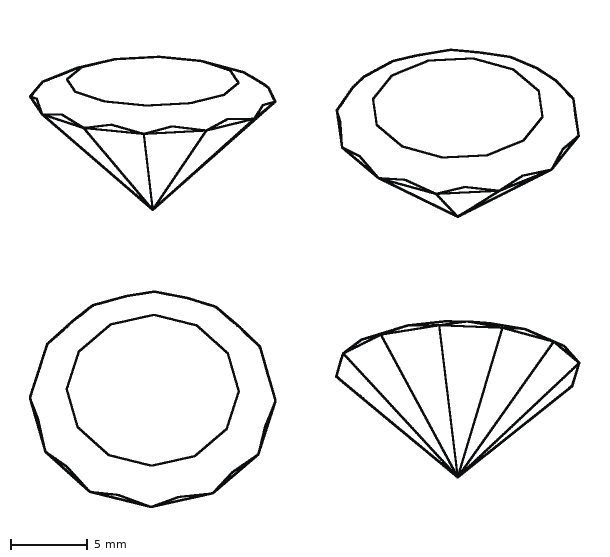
import cadquery as cq
import math

SIDES = 12
STEP_ANGLE = 360 / SIDES

TOTAL_HEIGHT = 8.77
GIRDLE_RADIUS = 8.04
CROWN_HEIGHT = 1.22
TABLE_RADIUS = 5.62

MIDDLE_RADIUS = 7.68
MIDDLE_HEIGHT = 0.39
MIDDLE_TWIST = 13.6


def ring(radius, height, twist=0):
    """Corners of a regular polygon, counterclockwise from the given angle."""
    angles = [math.radians(twist + i * STEP_ANGLE) for i in range(SIDES)]
    return [cq.Vector(radius * math.cos(a), radius * math.sin(a), height) for a in angles]


def facet(*corners):
    """Flat face through the given corners."""
    return cq.Face.makeFromWires(cq.Wire.makePolygon(corners, close=True))


table = ring(TABLE_RADIUS, CROWN_HEIGHT)
middle = ring(MIDDLE_RADIUS, MIDDLE_HEIGHT, MIDDLE_TWIST)
girdle = ring(GIRDLE_RADIUS, 0)
tip = cq.Vector(0, 0, CROWN_HEIGHT - TOTAL_HEIGHT)

facets = [facet(*table)]
for i in range(SIDES):
    following = (i + 1) % SIDES
    facets.append(facet(table[i], middle[i], table[following]))
    facets.append(facet(table[i], middle[i - 1], middle[i]))
    facets.append(facet(middle[i - 1], girdle[i], middle[i]))
    facets.append(facet(girdle[i], girdle[following], middle[i]))
    facets.append(facet(girdle[i], tip, girdle[following]))

gem = cq.Solid.makeSolid(cq.Shell.makeShell(facets))
result = cq.Workplane("XY").newObject([gem])